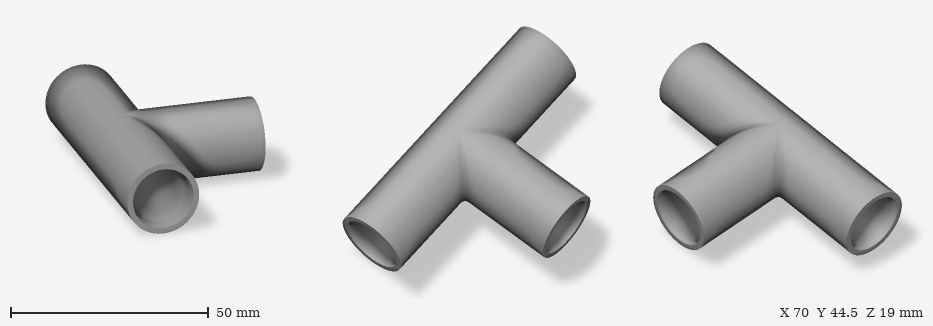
import cadquery as cq

outer_diameter = 19.0
wall = 1.5
run_length = 70.0
branch_reach = 35.0
fillet_radius = 1.5

bore_diameter = outer_diameter - 2 * wall
outlet_reach = outer_diameter / 2 + fillet_radius


def run_cylinder(diameter):
    """Cylinder along X, centred on the origin, as long as the run."""
    return cq.Workplane("YZ").circle(diameter / 2).extrude(run_length / 2, both=True)


def branch_cylinder(diameter, start, end):
    """Cylinder along Y between two distances from the run axis."""
    return cq.Workplane("XZ", origin=(0, start, 0)).circle(diameter / 2).extrude(start - end)


def make_tee():
    """Run and outlet in one solid, blended outside and bored through both axes."""
    body = run_cylinder(outer_diameter).union(branch_cylinder(outer_diameter, 0, branch_reach))
    seam = [edge for edge in body.edges().vals() if edge.geomType() == "ELLIPSE"]
    body = body.newObject(seam).fillet(fillet_radius)
    trim_diameter = 2 * outer_diameter
    body = body.cut(branch_cylinder(trim_diameter, outlet_reach, branch_reach))
    body = body.cut(run_cylinder(bore_diameter))
    return body.cut(branch_cylinder(bore_diameter, 0, outlet_reach))


def make_branch_tube():
    """Plain tube from the outlet's end face to the open end of the branch."""
    tube = branch_cylinder(outer_diameter, outlet_reach, branch_reach)
    return tube.cut(branch_cylinder(bore_diameter, outlet_reach, branch_reach))


tee = make_tee()
branch_tube = make_branch_tube()

result = cq.Compound.makeCompound([tee.val(), branch_tube.val()])